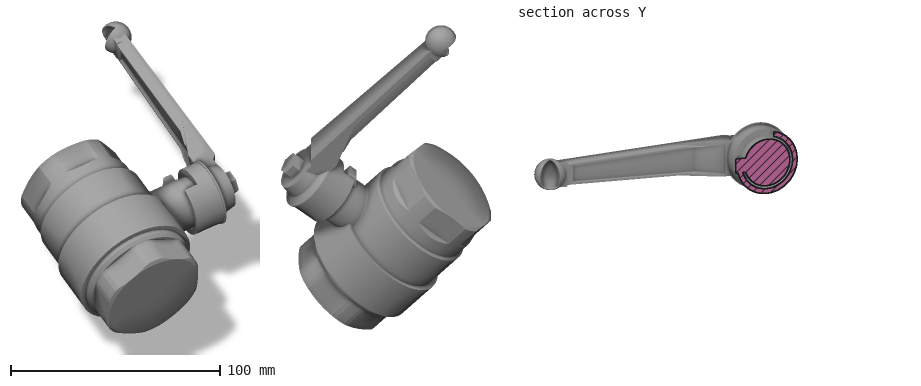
import cadquery as cq
import math


OVERALL_X = 152.2
OVERALL_Y = 99.9
OVERCUT = 1.5

END_X = 41.3
HEX_APOTHEM = 24.4
END_R = 26.2
END_CHAMFER_X = 0.9
BARREL_R = 27.7
BARREL_START_X = -18.9
BARREL_CHAMFER_X = 0.8
RING_R = 30.0
RING_START_X = 2.0
RING_END_X = 23.9
COLLAR_END_X = 25.9
COLLAR_R = 27.4
RIGHT_HEX_START_X = 27.7

LEFT_FLAT_END_X = -28.5
RIGHT_FLAT_HALF = 8.5
RIGHT_STRIP_ANGLE = 5.8
RIGHT_HEX_TURN = 2.2

STEM_R = 12.0
STEM_STEP_Y = 41.5
STEM_NECK_R = 11.7
STEM_FILLET = 1.2
HUB_TOP_Y = 62.5
CONE_TOP_R = 11.0
CONE_LOW_Y = 56.6
CONE_LOW_R = 12.3
RIM_Y = 54.5
RIM_R = 16.3
RIM_LOW_Y = 53.7
SKIRT_TOP_R = 15.7
SKIRT_FLOOR_Y = 46.0
SKIRT_END_Y = 39.0
SKIRT_END_R = 15.5
SKIRT_BORE_R = 13.0
NOTCH_X = 3.2
NOTCH_Z = -3.7

LUG_HALF_Z = 3.7
LUG_TIP_X = -16.5
LUG_ROOT_X = -10.7
LUG_TOP_Y = 42.6
LUG_TIP_LOW_Y = 38.5
LUG_ROOT_LOW_Y = 34.5
LUG_FILLET = 1.8
LUG_TIP_FILLET = 0.8

NUT_CORNER_DIA = 11.7
NUT_TOP_Y = 67.3

BALL_R = 7.6
BALL_WALL = 0.5
BALL_X = END_X - OVERALL_X + BALL_R
BALL_Y = OVERALL_Y - RING_R - BALL_R
BALL_OPEN_START = 209
BALL_OPEN_END = 288

ARM_START_X = -99.7
ARM_END_X = -6.1
ARM_TOP_Y = 65.0
ARM_TOP_END_X = -13.1
GRIP_LOW_Y = 58.6
ELBOW_X = -34.3
ELBOW_LOW_Y = 58.2
ARM_FOOT_X = -18.7
ARM_FOOT_Y = 53.6
ARM_START_HALF = 5.8
ARM_END_HALF = 8.8
DRAFT_TOP_Y = 62.5
DRAFT_END_X = -41.1
DRAFT_ANGLE = 12
POCKET_DEPTH = 1.5
POCKET_INSET = 2.1
POCKET_TOP_Y = 60.1
POCKET_DRAFT = 10
POCKET_START_X = -93.2
POCKET_ELBOW_X = -30.1
POCKET_END_X = -16.7


def disc(radius, y_low, y_high):
    return cq.Workplane("XZ", origin=(0, y_high, 0)).circle(radius).extrude(y_high - y_low)


def box(x_range, y_range, z_range):
    spans = (x_range, y_range, z_range)
    sizes = [high - low for low, high in spans]
    middle = tuple((low + high) / 2 for low, high in spans)
    return cq.Workplane("XY").box(*sizes).translate(middle)


def turned_body():
    outline = [
        (-END_X, 0),
        (-END_X, HEX_APOTHEM),
        (-END_X + END_CHAMFER_X, END_R),
        (BARREL_START_X - BARREL_CHAMFER_X, END_R),
        (BARREL_START_X, BARREL_R),
        (RING_START_X, BARREL_R),
        (RING_START_X, RING_R),
        (RING_END_X, RING_R),
        (RING_END_X, COLLAR_R),
        (COLLAR_END_X, COLLAR_R),
        (RIGHT_HEX_START_X, END_R),
        (END_X - END_CHAMFER_X, END_R),
        (END_X, HEX_APOTHEM),
        (END_X, 0),
    ]
    return cq.Workplane("XY").polyline(outline).close().revolve(360, (0, 0, 0), (1, 0, 0))


def left_flat_cutters():
    """Six cutters with a 45 degree run-out, the first one above the +Z flat."""
    depth = RING_R - HEX_APOTHEM
    side = [
        (-END_X - OVERCUT, HEX_APOTHEM),
        (LEFT_FLAT_END_X, HEX_APOTHEM),
        (LEFT_FLAT_END_X + depth, RING_R),
        (-END_X - OVERCUT, RING_R),
    ]
    cutter = cq.Workplane("XZ").polyline(side).close().extrude(END_R / 2, both=True)
    return [cutter.rotate((0, 0, 0), (1, 0, 0), 60 * i) for i in range(6)]


def right_hex_cutter():
    """Ring around the right end: flats, narrow bevels and round corner strips."""

    def polar(radius, degrees):
        angle = math.radians(degrees)
        return radius * math.cos(angle), radius * math.sin(angle)

    flat_angle = math.degrees(math.atan2(RIGHT_FLAT_HALF, HEX_APOTHEM))
    flat_end_r = math.hypot(RIGHT_FLAT_HALF, HEX_APOTHEM)
    plane = cq.Workplane("YZ", origin=(RIGHT_HEX_START_X, 0, 0))
    outline = plane.moveTo(*polar(flat_end_r, -flat_angle))
    for i in range(6):
        middle = 60 * i
        corner = middle + 30
        outline = (
            outline.lineTo(*polar(flat_end_r, middle + flat_angle))
            .lineTo(*polar(END_R, corner - RIGHT_STRIP_ANGLE))
            .threePointArc(polar(END_R, corner), polar(END_R, corner + RIGHT_STRIP_ANGLE))
        )
        if i < 5:
            outline = outline.lineTo(*polar(flat_end_r, middle + 60 - flat_angle))
    length = END_X - RIGHT_HEX_START_X + OVERCUT
    core = outline.close().extrude(length)
    stock = plane.circle(RING_R).extrude(length)
    return stock.cut(core).rotate((0, 0, 0), (1, 0, 0), -RIGHT_HEX_TURN)


def lever_hub():
    outline = [
        (0, HUB_TOP_Y),
        (CONE_TOP_R, HUB_TOP_Y),
        (CONE_LOW_R, CONE_LOW_Y),
        (RIM_R, RIM_Y),
        (RIM_R, RIM_LOW_Y),
        (SKIRT_TOP_R, RIM_LOW_Y),
        (SKIRT_END_R, SKIRT_END_Y),
        (SKIRT_BORE_R, SKIRT_END_Y),
        (SKIRT_BORE_R, SKIRT_FLOOR_Y),
        (0, SKIRT_FLOOR_Y),
    ]
    hub = cq.Workplane("XY").polyline(outline).close().revolve(360, (0, 0, 0), (0, 1, 0))
    notch = box((-2 * RIM_R, NOTCH_X), (0, SKIRT_FLOOR_Y), (NOTCH_Z, 2 * RIM_R))
    return hub.cut(notch)


def stop_lug():
    side = [
        (LUG_ROOT_X, LUG_TOP_Y),
        (LUG_TIP_X, LUG_TOP_Y),
        (LUG_TIP_X, LUG_TIP_LOW_Y),
        (LUG_ROOT_X, LUG_ROOT_LOW_Y),
    ]
    lug = cq.Workplane("XY").polyline(side).close().extrude(LUG_HALF_Z, both=True)
    rounded = box((LUG_TIP_X, LUG_ROOT_X), (LUG_ROOT_LOW_Y, LUG_TOP_Y), (-LUG_HALF_Z, LUG_HALF_Z))
    lug = lug.intersect(rounded.edges("|X and <Y").fillet(LUG_FILLET))
    return lug.faces("<X").edges("not >Y").fillet(LUG_TIP_FILLET)


def nut():
    height = NUT_TOP_Y - HUB_TOP_Y
    return cq.Workplane("XZ", origin=(0, NUT_TOP_Y, 0)).polygon(6, NUT_CORNER_DIA).extrude(height)


def arm_plan(inset, y_top, depth, taper=0):
    """Bar tapering along X, below the given height, with its long sides moved in by the inset."""
    start = ARM_START_HALF - inset
    end = ARM_END_HALF - inset
    corners = [(ARM_START_X, -start), (ARM_END_X, -end), (ARM_END_X, end), (ARM_START_X, start)]
    return cq.Workplane("XZ", origin=(0, y_top, 0)).polyline(corners).close().extrude(depth, taper=taper)


def side_prism(points):
    return cq.Workplane("XY").polyline(points).close().extrude(2 * ARM_END_HALF, both=True)


def lever_arm():
    depth = ARM_TOP_Y - ARM_FOOT_Y
    arm = arm_plan(0, ARM_TOP_Y, depth).intersect(side_prism([
        (ARM_START_X, ARM_TOP_Y),
        (ARM_TOP_END_X, ARM_TOP_Y),
        (ARM_TOP_END_X + ARM_TOP_Y - HUB_TOP_Y, HUB_TOP_Y),
        (ARM_END_X, HUB_TOP_Y),
        (ARM_END_X, ARM_FOOT_Y),
        (ARM_FOOT_X, ARM_FOOT_Y),
        (ELBOW_X, ELBOW_LOW_Y),
        (ARM_START_X, GRIP_LOW_Y),
    ]))

    drafted = arm_plan(0, DRAFT_TOP_Y, depth, DRAFT_ANGLE)
    below_grip_line = side_prism([
        (ARM_START_X + BALL_R / 2, DRAFT_TOP_Y),
        (DRAFT_END_X, DRAFT_TOP_Y),
        (ARM_FOOT_X, ARM_FOOT_Y),
        (ARM_START_X + BALL_R / 2, ARM_FOOT_Y),
    ])
    arm = arm.cut(below_grip_line.cut(drafted))

    fall = (ELBOW_LOW_Y - ARM_FOOT_Y) / (ARM_FOOT_X - ELBOW_X)
    pocket_end_y = ELBOW_LOW_Y - fall * (POCKET_END_X - ELBOW_X)
    pocket = arm_plan(POCKET_INSET, POCKET_TOP_Y, depth, -POCKET_DRAFT).intersect(side_prism([
        (POCKET_START_X, GRIP_LOW_Y + POCKET_DEPTH),
        (POCKET_ELBOW_X, ELBOW_LOW_Y + POCKET_DEPTH),
        (POCKET_END_X, pocket_end_y + POCKET_DEPTH),
        (POCKET_END_X, ARM_FOOT_Y - OVERCUT),
        (POCKET_START_X, ARM_FOOT_Y - OVERCUT),
    ]))
    return arm.cut(pocket)


def ball_opening():
    """Wedge with its edge along Z through the ball centre."""

    def ray(degrees):
        angle = math.radians(degrees)
        return 2 * BALL_R * math.cos(angle), 2 * BALL_R * math.sin(angle)

    corners = [(0, 0), ray(BALL_OPEN_START), ray(BALL_OPEN_END)]
    wedge = cq.Workplane("XY", origin=(BALL_X, BALL_Y, 0)).polyline(corners).close()
    return wedge.extrude(BALL_R, both=True)


def lever():
    """Arm with a thin hollow ball that is open towards -Y."""
    centre = (BALL_X, BALL_Y, 0)
    seam_turn = (BALL_OPEN_START + BALL_OPEN_END) / 2
    ball = cq.Workplane("XY").sphere(BALL_R).rotate((0, 0, 0), (0, 0, 1), seam_turn).translate(centre)
    hollow = cq.Workplane("XY").sphere(BALL_R - BALL_WALL)
    hollow = hollow.rotate((0, 0, 0), (0, 0, 1), seam_turn).translate(centre)
    shell = ball.cut(hollow).cut(ball_opening())
    return lever_arm().cut(hollow).union(shell)


body = turned_body()
for flat_cutter in left_flat_cutters():
    body = body.cut(flat_cutter)
body = body.cut(right_hex_cutter())

body = body.union(disc(STEM_R, 0, STEM_STEP_Y))
reach = STEM_R + STEM_FILLET
stem_root = cq.selectors.BoxSelector((-reach, BARREL_R / 2, -reach), (reach, RING_R, reach), boundingbox=True)
body = body.edges(stem_root).fillet(STEM_FILLET)

result = (
    body.union(disc(STEM_NECK_R, STEM_STEP_Y, RIM_Y))
    .union(stop_lug())
    .union(lever_hub())
    .union(nut())
    .union(lever())
)